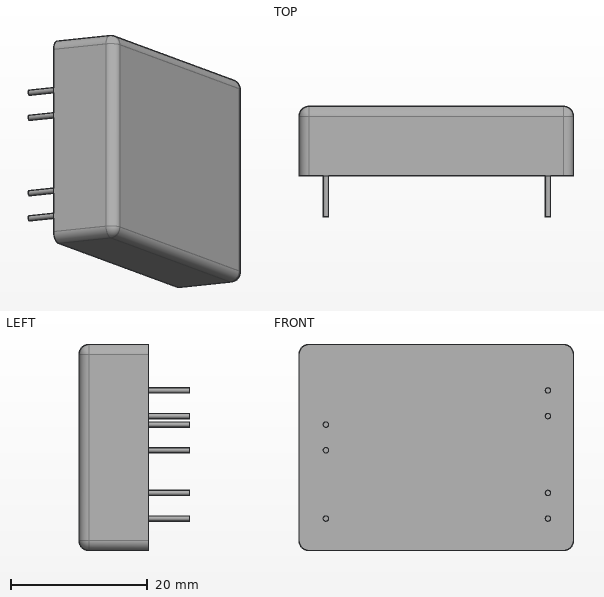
import cadquery as cq

case_width = 40.2
case_height = 30.2
case_depth = 10.2
corner_radius = 1.5

pin_diameter = 0.8
pin_length = 6.0
pin_grid = 1.25
row_spacing_steps = 26
left_row_x = -16.15
right_row_x = left_row_x + row_spacing_steps * pin_grid
lowest_pin_z = -10.4

left_row_steps = (0, 8, 11)
right_row_steps = (0, 3, 12, 15)


def make_case():
    """Rounded block with its flat, sharp-edged face on Y = 0."""
    block = cq.Workplane("XY").box(
        case_width, case_depth, case_height, centered=(True, False, True)
    )
    return block.edges("|Y").fillet(corner_radius).faces(">Y").edges().fillet(corner_radius)


def make_pin_row(row_x, steps):
    """Row of pins at one X position, reaching from the flat face toward -Y."""
    pin_centers = [(row_x, lowest_pin_z + step * pin_grid) for step in steps]
    return (
        cq.Workplane("XZ")
        .pushPoints(pin_centers)
        .circle(pin_diameter / 2)
        .extrude(pin_length)
    )


left_pins = make_pin_row(left_row_x, left_row_steps)
right_pins = make_pin_row(right_row_x, right_row_steps)

result = make_case().union(left_pins).union(right_pins)